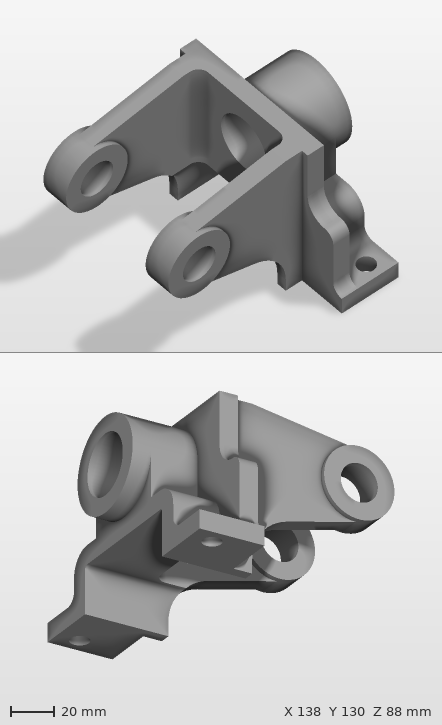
import cadquery as cq
import math


total_height = 88.0
plate_thickness = 10.0
plate_top_half_width = 45.0
shoulder_corner_radius = 6.0

foot_half_width = 69.0
foot_thickness = 10.0
foot_depth = 25.0
foot_fillet = 6.0
foot_hole_diameter = 10.0
foot_hole_rear_margin = 12.0

gap_half_width = 35.0
gap_height = 25.0
gap_corner_radius = 2.0
saddle_wall = 10.0

axis_height = 60.0
boss_radius = 25.0
boss_length = 35.0
bore_diameter = 32.0

arm_inner_x = 31.0
arm_thickness = 10.0
arm_root_depth = 10.0
arm_inner_fillet = 6.0
arm_blend_radius = 25.0
arm_lower_edge_root_height = 27.0
lug_reach = 66.0
lug_radius = 19.0
lug_width = 16.0
lug_hole_diameter = 20.0

plate_mid_half_width = foot_half_width - foot_fillet
shoulder_blend_radius = plate_mid_half_width - plate_top_half_width - shoulder_corner_radius
plate_rear_y = plate_thickness
foot_rear_y = plate_rear_y + foot_depth
boss_rear_y = plate_rear_y + boss_length
saddle_half_width = gap_half_width + saddle_wall
saddle_corner_radius = gap_corner_radius + saddle_wall
saddle_top_z = gap_height + saddle_wall
arm_center_x = arm_inner_x + arm_thickness / 2
foot_hole_x = (foot_half_width + saddle_half_width + foot_fillet) / 2
foot_hole_y = foot_rear_y - foot_hole_rear_margin

arc_midpoint = math.sqrt(0.5)


def both_sides(solid):
    """Join a solid with its mirror image across the X = 0 plane."""
    return solid.union(solid.mirror("YZ"))


def extrude_along_y(profile, start_y, end_y):
    """Extrude a closed XZ profile between two Y positions."""
    return profile.extrude(start_y - end_y).translate((0, start_y, 0))


def foot_outline():
    """Start an XZ half outline with the underside and the outer end of the foot."""
    return (
        cq.Workplane("XZ")
        .lineTo(foot_half_width, 0)
        .lineTo(foot_half_width, foot_thickness)
    )


def add_foot_fillet(outline, wall_half_width):
    """Continue an outline with the concave fillet from the foot up to the wall."""
    center_x = wall_half_width + foot_fillet
    center_z = foot_thickness + foot_fillet
    return outline.threePointArc(
        (center_x - foot_fillet * arc_midpoint, center_z - foot_fillet * arc_midpoint),
        (wall_half_width, center_z),
    )


def make_plate():
    """Upright plate with S-shaped shoulders."""
    blend_x = plate_top_half_width + shoulder_blend_radius
    blend_z = axis_height
    corner_z = blend_z - shoulder_blend_radius - shoulder_corner_radius
    half = (
        add_foot_fillet(foot_outline(), plate_mid_half_width)
        .lineTo(plate_mid_half_width, corner_z)
        .threePointArc(
            (
                blend_x + shoulder_corner_radius * arc_midpoint,
                corner_z + shoulder_corner_radius * arc_midpoint,
            ),
            (blend_x, corner_z + shoulder_corner_radius),
        )
        .threePointArc(
            (
                blend_x - shoulder_blend_radius * arc_midpoint,
                blend_z - shoulder_blend_radius * arc_midpoint,
            ),
            (plate_top_half_width, blend_z),
        )
        .lineTo(plate_top_half_width, total_height)
        .lineTo(0, total_height)
        .close()
    )
    return both_sides(extrude_along_y(half, 0, plate_rear_y))


def make_saddle():
    """Feet and rounded saddle behind the plate, carrying the boss on straight cheeks."""
    corner_x = saddle_half_width - saddle_corner_radius
    corner_z = saddle_top_z - saddle_corner_radius
    foot_top = foot_outline().lineTo(saddle_half_width + foot_fillet, foot_thickness)
    half = (
        add_foot_fillet(foot_top, saddle_half_width)
        .lineTo(saddle_half_width, corner_z)
        .threePointArc(
            (
                corner_x + saddle_corner_radius * arc_midpoint,
                corner_z + saddle_corner_radius * arc_midpoint,
            ),
            (corner_x, saddle_top_z),
        )
        .lineTo(boss_radius, saddle_top_z)
        .lineTo(boss_radius, axis_height)
        .lineTo(0, axis_height)
        .close()
    )
    return both_sides(extrude_along_y(half, plate_rear_y, foot_rear_y))


def make_boss():
    """Round boss on the rear of the plate."""
    profile = cq.Workplane("XZ").center(0, axis_height).circle(boss_radius)
    return extrude_along_y(profile, plate_rear_y, boss_rear_y)


def make_arm():
    """Tapered arm, with a curved lower root and a lug at its tip."""
    lug_bottom_z = axis_height - lug_radius
    taper = math.atan2(lug_bottom_z - arm_lower_edge_root_height, lug_reach - arm_root_depth)
    mid_angle = (math.pi / 2 - taper) / 2
    tangent_length = arm_blend_radius * math.tan(mid_angle)
    blend_start_z = arm_lower_edge_root_height - tangent_length
    blend_end_y = -arm_root_depth - tangent_length * math.cos(taper)
    blend_end_z = arm_lower_edge_root_height + tangent_length * math.sin(taper)
    blend_mid_y = -arm_root_depth - arm_blend_radius * (1 - math.cos(mid_angle))
    blend_mid_z = blend_start_z + arm_blend_radius * math.sin(mid_angle)

    web = (
        cq.Workplane("YZ", origin=(arm_inner_x, 0, 0))
        .lineTo(-arm_root_depth, 0)
        .lineTo(-arm_root_depth, blend_start_z)
        .threePointArc((blend_mid_y, blend_mid_z), (blend_end_y, blend_end_z))
        .lineTo(-lug_reach, lug_bottom_z)
        .lineTo(-lug_reach, axis_height + lug_radius)
        .lineTo(-arm_root_depth, total_height)
        .lineTo(0, total_height)
        .close()
        .extrude(arm_thickness)
    )
    lug = (
        cq.Workplane("YZ", origin=(arm_center_x - lug_width / 2, 0, 0))
        .center(-lug_reach, axis_height)
        .circle(lug_radius)
        .extrude(lug_width)
    )
    return web.union(lug)


def make_arm_fillet():
    """Concave vertical fillet between the arm and the plate."""
    start_x = arm_inner_x - arm_inner_fillet
    return (
        cq.Workplane("XY")
        .moveTo(arm_inner_x, 0)
        .lineTo(start_x, 0)
        .threePointArc(
            (
                start_x + arm_inner_fillet * arc_midpoint,
                -arm_inner_fillet * (1 - arc_midpoint),
            ),
            (arm_inner_x, -arm_inner_fillet),
        )
        .close()
        .extrude(total_height)
    )


def make_gap():
    """Passage between the feet, running through the full depth."""
    depth = lug_reach + foot_rear_y
    return (
        cq.Workplane("XY")
        .box(2 * gap_half_width, depth, gap_height, centered=(True, False, False))
        .edges("|Y and >Z")
        .fillet(gap_corner_radius)
        .translate((0, -lug_reach, 0))
    )


def make_bore():
    """Bore through the boss and the plate."""
    profile = cq.Workplane("XZ").center(0, axis_height).circle(bore_diameter / 2)
    return extrude_along_y(profile, 0, boss_rear_y)


def make_lug_holes():
    """Coaxial pin holes through both lugs."""
    return (
        cq.Workplane("YZ")
        .center(-lug_reach, axis_height)
        .circle(lug_hole_diameter / 2)
        .extrude(foot_half_width, both=True)
    )


def make_foot_holes():
    """Vertical bolt holes, one in each foot."""
    return (
        cq.Workplane("XY")
        .pushPoints([(-foot_hole_x, foot_hole_y), (foot_hole_x, foot_hole_y)])
        .circle(foot_hole_diameter / 2)
        .extrude(foot_thickness)
    )


result = make_plate().union(make_saddle()).union(make_boss())
result = result.union(both_sides(make_arm().union(make_arm_fillet())))
for cutter in (make_gap(), make_bore(), make_lug_holes(), make_foot_holes()):
    result = result.cut(cutter)